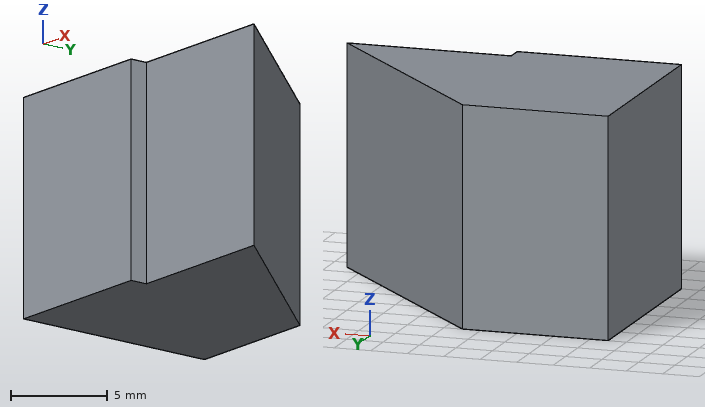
import cadquery as cq

length = 18.0
depth = 12.0
height = 12.0

back_edge_length = 8.0
step_x = length / 2
step_depth = 1.0

outline = [
    (0, 0),
    (step_x, 0),
    (step_x, step_depth),
    (length, step_depth),
    (back_edge_length, depth),
    (0, depth),
]

result = cq.Workplane("XY").polyline(outline).close().extrude(height)